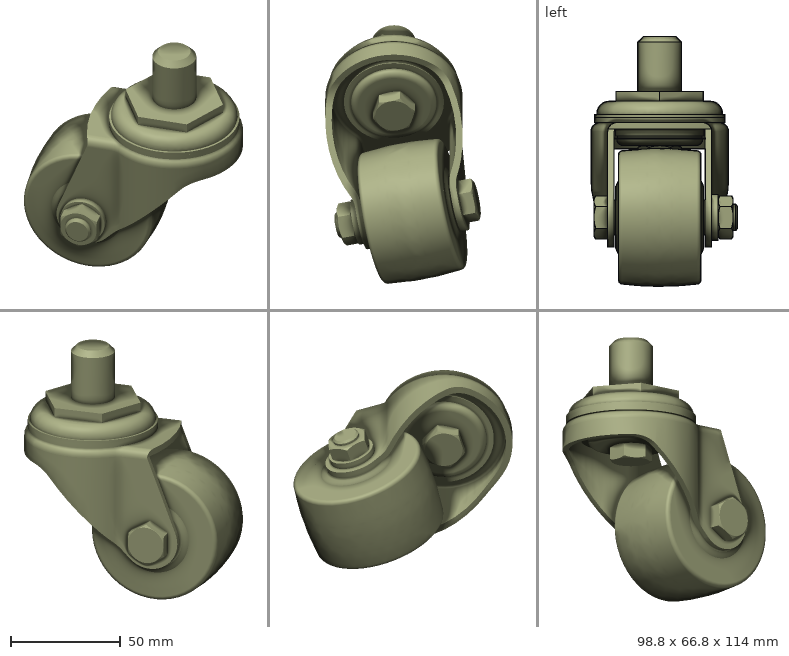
import cadquery as cq
import math

swivel_x = 36.0

tyre_radius = 31.5
tyre_edge_radius = 30.4
tyre_half_width = 18.8
tyre_shoulder = 1.9
hub_radius = 22.0
boss_half_width = 20.1
boss_base_radius = 16.9
boss_face_radius = 14.0

sheet = 3.0
wall_half_width = 23.7
skirt_radius = 31.3
neck_radius = 6.0
bend_radius = 4.0
fork_top = 43.2
fork_underside = fork_top - sheet
skirt_bottom = 31.2
skirt_corner_radius = 14.0
nose_radius = 65.0
nose_reach = 38.9
wall_top_x = 1.6
eye_radius = 13.6
eye_x = 0.5
rear_slope = 45.0

overshoot = 68.4

race_radius = 29.8
race_top = 45.5
inner_bend = bend_radius - sheet
dish_radius = 20.2
dish_bottom = 37.0
groove_radius = 19.4
seal_radius = 22.8
seal_top = 36.2
seal_bottom = 35.8
bowl_radius = 19.6
bowl_fillet = 3.1
bowl_bottom = seal_bottom - bowl_fillet

cap_radius = 28.7
cap_fillet = 5.8
cap_top = 53.0
flange_top = 46.8
hexagon_flats = 39.9
hexagon_top = 57.5
stem_radius = 10.0
stem_chamfer = 2.6
stem_top = 82.5

spacer_radius = 8.0
bolt_radius = 6.0
bolt_chamfer = 0.9
bolt_end = 35.5
nut_flats = 17.1
nut_height = 6.8
head_height = 6.3
washer_radius = 10.5
washer_height = 3.0
nut_chamfer_angle = 30.0


def along_y(radius, y_start, y_end):
    """Cylinder on the wheel axis from y_start to y_end."""
    return cq.Workplane("XZ", origin=(0, y_start, 0)).circle(radius).extrude(y_start - y_end)


def chamfered_hexagon(flats, height, both_ends):
    """Hexagon standing on Z = 0, corners on Y, its corners turned down at the top or at both ends."""
    corner_radius = flats / math.sqrt(3)
    drop = (corner_radius - flats / 2) * math.tan(math.radians(nut_chamfer_angle))
    hexagon = cq.Workplane("XY").polygon(6, 2 * corner_radius).extrude(height)
    hexagon = hexagon.rotate((0, 0, 0), (0, 0, 1), 90)
    outline = cq.Workplane("XZ").moveTo(0, 0)
    if both_ends:
        outline = outline.lineTo(flats / 2, 0).lineTo(corner_radius, drop)
    else:
        outline = outline.lineTo(corner_radius, 0)
    turned = outline.lineTo(corner_radius, height - drop).lineTo(flats / 2, height).lineTo(0, height).close()
    return hexagon.intersect(turned.revolve(360, (0, 0, 0), (0, 1, 0)))


def make_tyre():
    """Crowned ring with rounded shoulders, fitted on the hub."""
    face_radius = tyre_edge_radius - tyre_shoulder
    edge_y = tyre_half_width - tyre_shoulder
    profile = (
        cq.Workplane("XY")
        .moveTo(hub_radius, -tyre_half_width)
        .lineTo(face_radius, -tyre_half_width)
        .radiusArc((tyre_edge_radius, -edge_y), -tyre_shoulder)
        .threePointArc((tyre_radius, 0), (tyre_edge_radius, edge_y))
        .radiusArc((face_radius, tyre_half_width), -tyre_shoulder)
        .lineTo(hub_radius, tyre_half_width)
        .close()
    )
    return profile.revolve(360, (0, 0, 0), (0, 1, 0))


def make_hub():
    """Disc with a tapered boss on each face, turning on the spacer."""
    profile = (
        cq.Workplane("XY")
        .moveTo(spacer_radius, -boss_half_width)
        .lineTo(boss_face_radius, -boss_half_width)
        .lineTo(boss_base_radius, -tyre_half_width)
        .lineTo(hub_radius, -tyre_half_width)
        .lineTo(hub_radius, tyre_half_width)
        .lineTo(boss_base_radius, tyre_half_width)
        .lineTo(boss_face_radius, boss_half_width)
        .lineTo(spacer_radius, boss_half_width)
        .close()
    )
    return profile.revolve(360, (0, 0, 0), (0, 1, 0))


def pressing(inset, front_x, top, corner_fillet):
    """Block with the fork's plan outline moved inward by inset, its top edges rounded."""
    half_width = wall_half_width - inset
    radius = skirt_radius - inset
    neck = neck_radius + inset
    neck_y = half_width + neck
    neck_dx = math.sqrt((radius + neck) ** 2 - neck_y**2)
    blend = radius / (radius + neck)
    blend_x = swivel_x - neck_dx * blend
    blend_y = neck_y * blend
    neck_x = swivel_x - neck_dx
    bottom = -overshoot
    block = (
        cq.Workplane("XY", origin=(0, 0, bottom))
        .moveTo(front_x, -half_width)
        .lineTo(neck_x, -half_width)
        .radiusArc((blend_x, -blend_y), neck)
        .threePointArc((swivel_x + radius, 0), (blend_x, blend_y))
        .radiusArc((neck_x, half_width), neck)
        .lineTo(front_x, half_width)
        .close()
        .extrude(top - bottom)
    )
    return block.faces(">Z").edges().fillet(corner_fillet)


def fork_side_shape():
    """Side outline of the fork: sloping front edge, round eye, 45 degree rear edge and skirt."""
    front_dx = wall_top_x - eye_x
    distance = math.hypot(front_dx, fork_underside)
    front_angle = math.atan2(fork_underside, front_dx) + math.acos(eye_radius / distance)
    rear_angle = -math.radians(rear_slope)
    middle_angle = (front_angle - 2 * math.pi + rear_angle) / 2

    def on_eye(angle):
        return (eye_x + eye_radius * math.cos(angle), eye_radius * math.sin(angle))

    rear_x, rear_z = on_eye(rear_angle)
    corner_x = rear_x + (skirt_bottom - rear_z) / math.tan(math.radians(rear_slope))
    setback = skirt_corner_radius * math.tan(math.radians(rear_slope / 2))
    slope_start_x = corner_x - setback * math.cos(math.radians(rear_slope))
    slope_start_z = skirt_bottom - setback * math.sin(math.radians(rear_slope))
    back_x = swivel_x + overshoot
    front_x = -overshoot
    return (
        cq.Workplane("XZ")
        .moveTo(wall_top_x, fork_underside)
        .lineTo(*on_eye(front_angle))
        .threePointArc(on_eye(middle_angle), (rear_x, rear_z))
        .lineTo(slope_start_x, slope_start_z)
        .radiusArc((corner_x + setback, skirt_bottom), skirt_corner_radius)
        .lineTo(back_x, skirt_bottom)
        .lineTo(back_x, fork_top)
        .lineTo(front_x, fork_top)
        .lineTo(front_x, fork_underside)
        .close()
        .extrude(overshoot, both=True)
    )


def nose_trim():
    """Material in front of the rounded front edge of the top plate."""
    plate = cq.Workplane("XY", origin=(-swivel_x, 0, fork_underside))
    block = plate.rect(4 * swivel_x, 2 * overshoot).extrude(sheet)
    disc_x = swivel_x - nose_reach + nose_radius
    disc = cq.Workplane("XY", origin=(disc_x, 0, fork_underside)).circle(nose_radius).extrude(sheet)
    return block.cut(disc)


def make_axle():
    """Bolt through both walls, its head at the back, its washer and nut in front, and the wheel spacer."""
    inner_wall = wall_half_width - sheet
    washer_end = wall_half_width + washer_height
    spacer = along_y(spacer_radius, -inner_wall, inner_wall)
    bolt = along_y(bolt_radius, -bolt_end, wall_half_width).faces("<Y").chamfer(bolt_chamfer)
    washer = along_y(washer_radius, -washer_end, -wall_half_width)
    head = chamfered_hexagon(nut_flats, head_height, False).rotate((0, 0, 0), (1, 0, 0), -90)
    nut = chamfered_hexagon(nut_flats, nut_height, True).rotate((0, 0, 0), (1, 0, 0), 90)
    head = head.translate((0, wall_half_width, 0))
    nut = nut.translate((0, -washer_end, 0))
    return spacer.union(bolt).union(washer).union(head).union(nut)


def make_fork():
    """Pressed fork with its bearing race, bowl and kingpin nut, and the axle fixed across its walls."""
    outer = pressing(0, -overshoot, fork_top, bend_radius)
    inner = pressing(sheet, -2 * overshoot, fork_underside, inner_bend)
    fork = outer.cut(inner).intersect(fork_side_shape()).cut(nose_trim())
    race = (
        cq.Workplane("XZ", origin=(swivel_x, 0, 0))
        .moveTo(0, race_top)
        .lineTo(race_radius, race_top)
        .lineTo(race_radius, fork_top)
        .lineTo(dish_radius, fork_top)
        .lineTo(dish_radius + inner_bend, fork_underside)
        .radiusArc((dish_radius, fork_underside - inner_bend), -inner_bend)
        .lineTo(dish_radius, dish_bottom)
        .lineTo(groove_radius, dish_bottom)
        .lineTo(groove_radius, seal_top)
        .lineTo(seal_radius, seal_top)
        .lineTo(seal_radius, seal_bottom)
        .lineTo(bowl_radius, seal_bottom)
        .radiusArc((bowl_radius - bowl_fillet, bowl_bottom), bowl_fillet)
        .lineTo(0, bowl_bottom)
        .close()
        .revolve(360, (0, 0, 0), (0, 1, 0))
    )
    nut = chamfered_hexagon(nut_flats, nut_height, True).translate((swivel_x, 0, bowl_bottom - nut_height))
    return fork.union(race).union(nut).union(make_axle())


def make_stem():
    """Rounded cap on the bearing race, with a hexagon and the mounting pin on top."""
    cap = (
        cq.Workplane("XZ", origin=(swivel_x, 0, 0))
        .moveTo(0, race_top)
        .lineTo(race_radius, race_top)
        .lineTo(race_radius, flange_top)
        .lineTo(cap_radius, flange_top)
        .lineTo(cap_radius, cap_top - cap_fillet)
        .radiusArc((cap_radius - cap_fillet, cap_top), -cap_fillet)
        .lineTo(0, cap_top)
        .close()
        .revolve(360, (0, 0, 0), (0, 1, 0))
    )
    corner_diameter = 2 * hexagon_flats / math.sqrt(3)
    base = cq.Workplane("XY", origin=(swivel_x, 0, cap_top))
    hexagon = base.polygon(6, corner_diameter).extrude(hexagon_top - cap_top)
    pin = base.circle(stem_radius).extrude(stem_top - cap_top).faces(">Z").chamfer(stem_chamfer)
    return cap.union(hexagon).union(pin)


tyre = make_tyre()
hub = make_hub()
fork = make_fork()
stem = make_stem()
result = cq.Compound.makeCompound([tyre.val(), hub.val(), fork.val(), stem.val()])